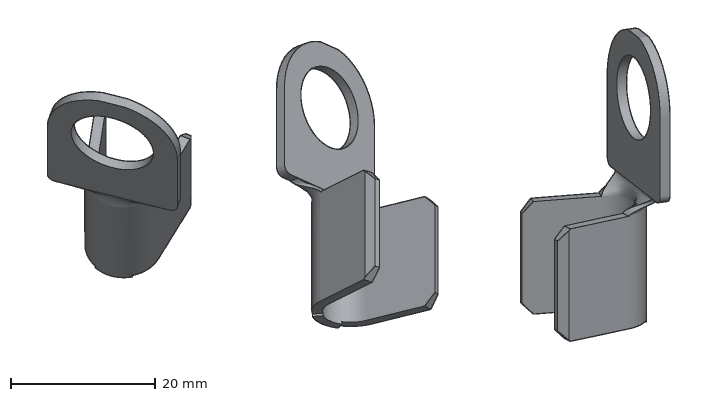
import cadquery as cq
import math

thickness = 1.5

tongue_width = 18.8
tongue_bottom = 19.45
tongue_top = 41.55
crown_center_z = 32.3
hole_diameter = 11.9
hole_center_z = 32.2
tongue_corner_radius = 1.25

barrel_radius = 5.4
barrel_bottom = 0.37
barrel_top = 16.9
wing_angle = 9.8
barrel_depth = 15.85
wing_corner_chamfer = 1.65
wing_taper_length = 1.4
wing_taper_depth = 0.65
lip_half_angle = 30.0

neck_inset = 0.25
neck_waist = 0.65
neck_steps = 6

inner_radius = barrel_radius - thickness
middle_radius = barrel_radius - thickness / 2
bend_half_angle = math.radians(90 - wing_angle)
strip_half_width = middle_radius * bend_half_angle
wing_start_y = barrel_radius - inner_radius * math.cos(bend_half_angle)
wing_length = (barrel_depth - wing_start_y) / math.sin(bend_half_angle)


def bent_strip(radius, half_angle, front_y=0.0):
    """Closed outline of a strip bent about a Z axis, its outside touching y = front_y at x = 0."""

    def point(r, angle):
        return (r * math.sin(angle), front_y + radius - r * math.cos(angle))

    inside = radius - thickness
    return (
        cq.Workplane("XY")
        .moveTo(*point(radius, -half_angle))
        .threePointArc(point(radius, 0), point(radius, half_angle))
        .lineTo(*point(inside, half_angle))
        .threePointArc(point(inside, 0), point(inside, -half_angle))
        .close()
    )


def make_tongue():
    """Flat ring tongue: rounded plate with a flat-topped end and a stud hole."""
    half_width = tongue_width / 2
    plate = (
        cq.Workplane("XZ")
        .moveTo(-half_width, tongue_bottom)
        .lineTo(half_width, tongue_bottom)
        .lineTo(half_width, crown_center_z)
        .threePointArc((0, crown_center_z + half_width), (-half_width, crown_center_z))
        .close()
        .extrude(-thickness)
    )
    plate = plate.edges("|Y and <Z").fillet(tongue_corner_radius)
    below_top = cq.Workplane("XY").box(
        tongue_width, thickness, tongue_top, centered=(True, False, False)
    )
    hole = (
        cq.Workplane("XZ")
        .center(0, hole_center_z)
        .circle(hole_diameter / 2)
        .extrude(-thickness)
    )
    return plate.intersect(below_top).cut(hole)


def make_wing():
    """Right-hand crimp wing, drawn upright from the origin, then tilted to meet the barrel arc."""
    height = barrel_top - barrel_bottom
    wing = (
        cq.Workplane("XY")
        .polyline([
            (0, 0),
            (thickness, 0),
            (thickness, wing_length - wing_taper_length),
            (thickness - wing_taper_depth, wing_length),
            (0, wing_length),
        ])
        .close()
        .extrude(height)
    )
    side_outline = (
        cq.Workplane("YZ")
        .polyline([
            (0, 0),
            (wing_length - wing_corner_chamfer, 0),
            (wing_length, wing_corner_chamfer),
            (wing_length, height - wing_corner_chamfer),
            (wing_length - wing_corner_chamfer, height),
            (0, height),
        ])
        .close()
        .extrude(thickness)
    )
    wing = wing.intersect(side_outline)
    wing_start_x = inner_radius * math.sin(bend_half_angle)
    return (
        wing.rotate((0, 0, 0), (0, 0, 1), -wing_angle)
        .translate((wing_start_x, wing_start_y, barrel_bottom))
    )


def make_barrel():
    """Arc-shaped barrel floor with two wings and a short lip at the lower end."""
    floor = bent_strip(barrel_radius, bend_half_angle).extrude(barrel_top - barrel_bottom)
    floor = floor.translate((0, 0, barrel_bottom))
    lip = bent_strip(barrel_radius, math.radians(lip_half_angle)).extrude(barrel_bottom)
    wing = make_wing()
    return floor.union(lip).union(wing).union(wing.mirror("YZ"))


def make_neck():
    """Slightly waisted strip that unbends smoothly from the barrel arc to the flat tongue."""
    neck_height = tongue_bottom - barrel_top
    sections = []
    for step in range(neck_steps):
        progress = step / neck_steps
        half_angle = bend_half_angle * (1 + math.cos(math.pi * progress)) / 2
        radius = strip_half_width / half_angle + thickness / 2
        bulge = math.sin(math.pi * progress)
        waisted_angle = half_angle * (1 - neck_waist * bulge / strip_half_width)
        wire = bent_strip(radius, waisted_angle, neck_inset * bulge).val()
        sections.append(wire.translate(cq.Vector(0, 0, barrel_top + neck_height * progress)))
    flat_section = cq.Wire.makePolygon(
        [
            cq.Vector(-strip_half_width, 0, tongue_bottom),
            cq.Vector(strip_half_width, 0, tongue_bottom),
            cq.Vector(strip_half_width, thickness, tongue_bottom),
            cq.Vector(-strip_half_width, thickness, tongue_bottom),
        ],
        close=True,
    )
    sections.append(flat_section)
    return cq.Workplane(cq.Solid.makeLoft(sections))


result = make_barrel().union(make_neck()).union(make_tongue())